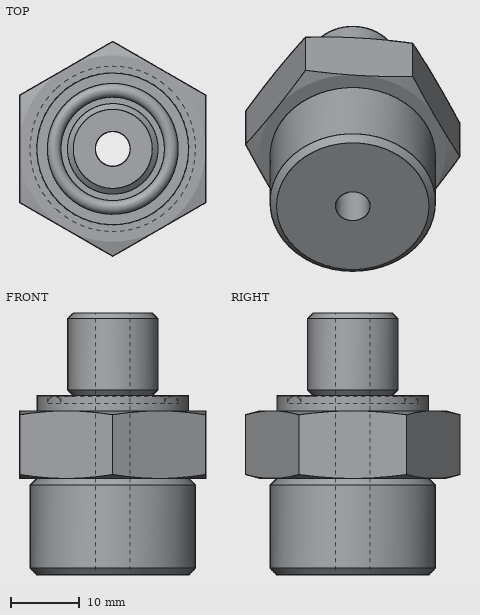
import cadquery as cq
import math

total_height = 38.0
hex_bottom = 14.0
hex_top = 23.8
collar_top = 26.0

body_diameter = 24.0
body_chamfer = 0.95

across_flats = 27.0
corner_drop = 0.57
across_corners = across_flats / math.cos(math.radians(30))

collar_diameter = 22.0
groove_outer_diameter = 19.0
groove_inner_diameter = 15.0
seal_recess = 0.1

stud_diameter = 13.15
stud_chamfer = 0.85
bore_diameter = 5.0


def cylinder(diameter, bottom, top):
    return cq.Workplane("XY").workplane(offset=bottom).circle(diameter / 2).extrude(top - bottom)


def chamfered_cylinder(diameter, bottom, top, chamfer):
    return cylinder(diameter, bottom, top).faces("<Z or >Z").chamfer(chamfer)


def make_hexagon():
    """Hexagon with flats facing +X and -X and conically trimmed corners."""
    height = hex_top - hex_bottom
    prism = (
        cq.Workplane("XY")
        .workplane(offset=hex_bottom)
        .polygon(6, across_corners)
        .extrude(height)
        .rotate((0, 0, 0), (0, 0, 1), 30)
    )
    envelope = (
        cq.Workplane("XZ")
        .moveTo(0, hex_bottom)
        .lineTo(across_flats / 2, hex_bottom)
        .lineTo(across_corners / 2, hex_bottom + corner_drop)
        .lineTo(across_corners / 2, hex_top - corner_drop)
        .lineTo(across_flats / 2, hex_top)
        .lineTo(0, hex_top)
        .close()
        .revolve(360, (0, 0), (0, 1))
    )
    return prism.intersect(envelope)


def make_seal_groove():
    """Annular cut whose floor is the upper half of the seal ring."""
    inner = groove_inner_diameter / 2
    outer = groove_outer_diameter / 2
    middle = (inner + outer) / 2
    ring_top = collar_top - seal_recess
    ring_center = ring_top - (outer - inner) / 2
    return (
        cq.Workplane("XZ")
        .moveTo(inner, collar_top)
        .lineTo(inner, ring_center)
        .threePointArc((middle, ring_top), (outer, ring_center))
        .lineTo(outer, collar_top)
        .close()
        .revolve(360, (0, 0), (0, 1))
    )


body = chamfered_cylinder(body_diameter, 0, hex_bottom, body_chamfer)
collar = cylinder(collar_diameter, hex_top, collar_top).cut(make_seal_groove())
stud = chamfered_cylinder(stud_diameter, collar_top, total_height, stud_chamfer)
bore = cylinder(bore_diameter, 0, total_height)

result = body.union(make_hexagon()).union(collar).union(stud).cut(bore)